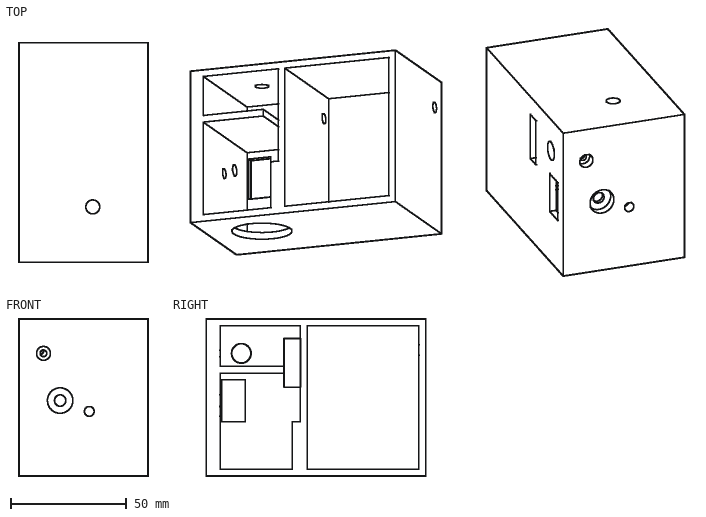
import cadquery as cq

width = 56.0
length = 95.0
height = 68.0
wall = 3.0
front_wall = 6.0

partition_front = 40.75
partition_back = partition_front + wall
partition_foot_front = 37.2
partition_foot_top = height - 44.4

shelf_top = height - 20.5
shelf_bottom = shelf_top - wall

slot_length = 7.0
slot_bottom = height - 29.5
slot_top = height - 8.5
slot_front = partition_front - slot_length
window_front = 6.7
window_back = 16.9
window_bottom = partition_foot_top
window_top = height - 26.4
upper_hole_z = height - 14.9
side_hole_y = 15.2
side_hole_diameter = 8.3

counterbore_depth = 4.0
small_hole_x = 10.7
small_hole_diameter = 2.8
small_counterbore_diameter = 6.0
large_hole_x = 17.9
large_hole_z = height - 35.3
large_hole_diameter = 4.9
large_counterbore_diameter = 11.0
plain_hole_x = 30.5
plain_hole_z = height - 40.0
plain_hole_diameter = 4.2

vertical_axis_x = 32.0
vertical_axis_y = 24.0
top_hole_diameter = 6.0
base_opening_diameter = 26.0

cable_hole_x = small_hole_x - 2.2
cable_hole_z = upper_hole_z + 1.5
cable_hole_diameter = 4.5


def box(x_range, y_range, z_range):
    """Axis-aligned box from its lower and upper limit on each axis."""
    lows, highs = zip(x_range, y_range, z_range)
    sizes = [high - low for low, high in zip(lows, highs)]
    return cq.Workplane("XY").box(*sizes, centered=False).translate(lows)


def cylinder(start, direction, diameter, depth):
    """Cylinder that grows from the start point along the direction."""
    return cq.Workplane(cq.Solid.makeCylinder(diameter / 2, depth, cq.Vector(*start), cq.Vector(*direction)))


def make_housing():
    inner_x = (wall, width)
    inner_z = (wall, height - wall)
    front_chamber = box(inner_x, (front_wall, partition_front), inner_z)
    rear_chamber = box(inner_x, (partition_back, length - wall), inner_z)
    shelf = box(inner_x, (front_wall, slot_front), (shelf_bottom, shelf_top))
    partition_foot = box(inner_x, (partition_foot_front, partition_front), (wall, partition_foot_top))
    shell = box((0, width), (0, length), (0, height))
    return shell.cut(front_chamber).cut(rear_chamber).union(shelf).union(partition_foot)


def cut_side_openings(body):
    slot = box((0, wall), (slot_front, partition_front), (slot_bottom, slot_top))
    window = box((0, wall), (window_front, window_back), (window_bottom, window_top))
    round_hole = cylinder((0, side_hole_y, upper_hole_z), (1, 0, 0), side_hole_diameter, wall)
    return body.cut(slot).cut(window).cut(round_hole)


def cut_front_hole(body, x, z, diameter, counterbore_diameter=None):
    body = body.cut(cylinder((x, 0, z), (0, 1, 0), diameter, front_wall))
    if counterbore_diameter:
        body = body.cut(cylinder((x, 0, z), (0, 1, 0), counterbore_diameter, counterbore_depth))
    return body


def cut_vertical_openings(body):
    up = (0, 0, 1)
    top_hole = cylinder((vertical_axis_x, vertical_axis_y, height - wall), up, top_hole_diameter, wall)
    base_opening = cylinder((vertical_axis_x, vertical_axis_y, 0), up, base_opening_diameter, wall)
    return body.cut(top_hole).cut(base_opening)


def cut_cable_hole(body):
    start = (cable_hole_x, partition_front, cable_hole_z)
    return body.cut(cylinder(start, (0, 1, 0), cable_hole_diameter, length - partition_front))


result = make_housing()
result = cut_side_openings(result)
result = cut_front_hole(result, small_hole_x, upper_hole_z, small_hole_diameter, small_counterbore_diameter)
result = cut_front_hole(result, large_hole_x, large_hole_z, large_hole_diameter, large_counterbore_diameter)
result = cut_front_hole(result, plain_hole_x, plain_hole_z, plain_hole_diameter)
result = cut_vertical_openings(result)
result = cut_cable_hole(result)